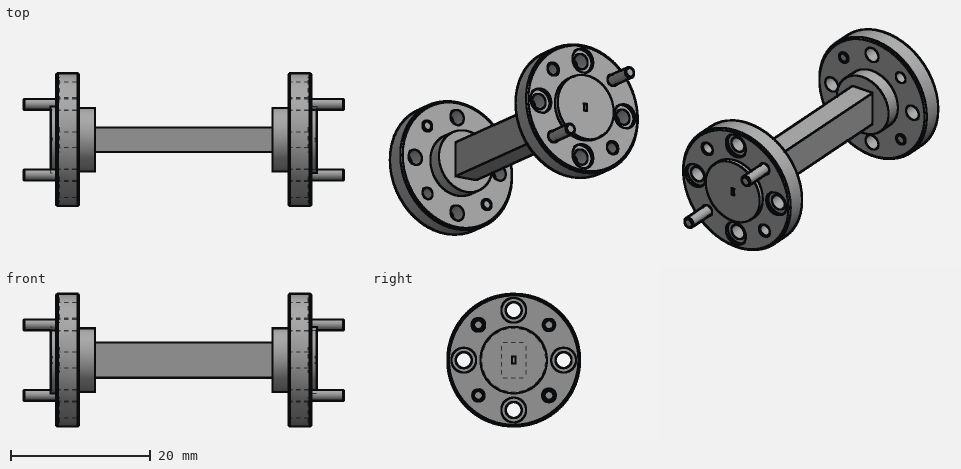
import cadquery as cq
import math


TIP_X = 45.85 / 2
MATING_X = 38.1 / 2
FLANGE_FACE_X = 18.288
FLANGE_BACK_X = 14.986
COLLAR_END_X = 12.7

FLANGE_DIAMETER = 19.05
FLANGE_CHAMFER = 0.25
PAD_DIAMETER = 9.525
COLLAR_DIAMETER = 9.144

TUBE_WIDTH = 3.556
TUBE_HEIGHT = 5.08
APERTURE_WIDTH = 0.508
APERTURE_HEIGHT = 2 * APERTURE_WIDTH
APERTURE_DEPTH = 0.254

BOLT_CIRCLE_RADIUS = 14.29 / 2
SCREW_HOLE_DIAMETER = 2.26
COUNTERBORE_DIAMETER = 3.556
COUNTERBORE_DEPTH = 0.508
GUIDE_HOLE_DIAMETER = 1.7
GUIDE_HOLE_CHAMFER = 0.13
PIN_HOLE_CHAMFER = 0.08

PIN_DIAMETER = 1.588
PIN_CHAMFER = 0.15

SCREW_ANGLES = [0, 90, 180, 270]
RISING_DIAGONAL = [45, 225]
FALLING_DIAGONAL = [135, 315]

ENDS = [
    (-1, FALLING_DIAGONAL, RISING_DIAGONAL),
    (1, RISING_DIAGONAL, FALLING_DIAGONAL),
]


def disc_points(angles):
    """(Y, Z) places on the bolt circle, angles counted from +Y toward +Z."""
    return [
        (
            BOLT_CIRCLE_RADIUS * math.cos(math.radians(angle)),
            BOLT_CIRCLE_RADIUS * math.sin(math.radians(angle)),
        )
        for angle in angles
    ]


def cylinders(diameter, start_x, end_x, points=((0, 0),)):
    """Cylinders along X between two stations, one at each (Y, Z) point."""
    return (
        cq.Workplane("YZ", origin=(start_x, 0, 0))
        .pushPoints(points)
        .circle(diameter / 2)
        .extrude(end_x - start_x)
    )


def end_blank(side):
    """Flange disc with its raised pad and the collar behind it."""
    disc = cylinders(FLANGE_DIAMETER, side * FLANGE_BACK_X, side * FLANGE_FACE_X)
    disc = disc.edges("%CIRCLE").chamfer(FLANGE_CHAMFER)
    collar = cylinders(COLLAR_DIAMETER, side * COLLAR_END_X, side * FLANGE_FACE_X)
    pad = cylinders(PAD_DIAMETER, side * FLANGE_BACK_X, side * MATING_X)
    return disc.union(collar).union(pad)


def chamfered_holes(side, diameter, chamfer, angles):
    """Cutters for through holes with a chamfered mouth in the outer face of a flange."""
    depth = FLANGE_FACE_X - FLANGE_BACK_X
    radius = diameter / 2
    profile = [
        (0, 0),
        (radius, 0),
        (radius, depth - chamfer),
        (radius + chamfer, depth),
        (0, depth),
    ]
    cutter = (
        cq.Workplane("XY")
        .polyline(profile)
        .close()
        .revolve(360, (0, 0), (0, 1))
        .rotate((0, 0, 0), (0, 0, 1), -side * 90)
        .translate((side * FLANGE_BACK_X, 0, 0))
    )
    return [cutter.translate((0, y, z)) for y, z in disc_points(angles)]


def end_cuts(side, pin_angles, guide_angles):
    """Everything removed from one end: the aperture and the screw, guide and pin holes."""
    back = side * FLANGE_BACK_X
    face = side * FLANGE_FACE_X
    screw_points = disc_points(SCREW_ANGLES)
    counterbore_floor = side * (FLANGE_FACE_X - COUNTERBORE_DEPTH)
    aperture_center = side * (MATING_X - APERTURE_DEPTH / 2)
    aperture = cq.Workplane("XY", origin=(aperture_center, 0, 0)).box(
        APERTURE_DEPTH, APERTURE_WIDTH, APERTURE_HEIGHT
    )
    return [
        cylinders(SCREW_HOLE_DIAMETER, back, face, screw_points),
        cylinders(COUNTERBORE_DIAMETER, counterbore_floor, face, screw_points),
        aperture,
        *chamfered_holes(side, GUIDE_HOLE_DIAMETER, GUIDE_HOLE_CHAMFER, guide_angles),
        *chamfered_holes(side, PIN_DIAMETER, PIN_HOLE_CHAMFER, pin_angles),
    ]


def make_waveguide():
    """Tube with a flange on each end, as one solid."""
    body = cq.Workplane("XY").box(2 * COLLAR_END_X, TUBE_WIDTH, TUBE_HEIGHT)
    for side, pin_angles, guide_angles in ENDS:
        body = body.union(end_blank(side))
        for cut in end_cuts(side, pin_angles, guide_angles):
            body = body.cut(cut)
    return body


def make_pin(side, point):
    """Alignment pin, chamfered at both ends and flush with the back of its flange."""
    pin = cylinders(PIN_DIAMETER, side * FLANGE_BACK_X, side * TIP_X, [point])
    return pin.edges("%CIRCLE").chamfer(PIN_CHAMFER)


waveguide = make_waveguide()
pins = [
    make_pin(side, point)
    for side, pin_angles, _ in ENDS
    for point in disc_points(pin_angles)
]

result = cq.Compound.makeCompound([waveguide.val(), *[pin.val() for pin in pins]])